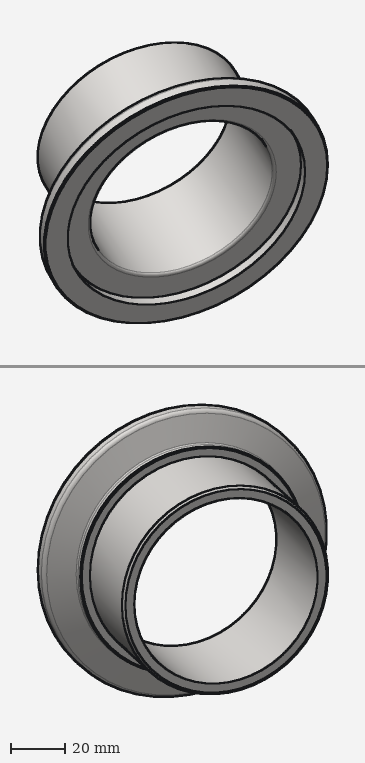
import cadquery as cq
import math

total_length = 45.7
bore_diameter = 72.4
tube_diameter = 81.5
tube_end_chamfer = 1.0

collar_diameter = 88.9
collar_start = 32.6
collar_width = 3.2
collar_edge_chamfer = 0.5

flange_diameter = 112.8
flange_slope_angle = 20.0
neck_fillet_radius = 0.7
rim_fillet_radius = 2.0
flange_face_chamfer = 0.5

recess_diameter = 94.3
recess_depth = 4.0
bore_edge_fillet = 1.1

bore_radius = bore_diameter / 2
tube_radius = tube_diameter / 2
collar_radius = collar_diameter / 2
flange_radius = flange_diameter / 2
slope = math.radians(flange_slope_angle)
slope_start = collar_start + collar_width
rim_start = slope_start + (flange_radius - collar_radius) * math.tan(slope)

tangent_per_radius = math.tan((math.pi / 2 - slope) / 2)
neck_tangent = neck_fillet_radius * tangent_per_radius
rim_tangent = rim_fillet_radius * tangent_per_radius


def along_cone(corner_x, corner_radius, distance):
    """Point on the back cone at a signed distance from a corner that lies on it."""
    return (
        corner_x + distance * math.sin(slope),
        corner_radius + distance * math.cos(slope),
    )


def make_body():
    """Solid tube, collar and flange as one revolved outline."""
    outline = (
        cq.Workplane("XY")
        .moveTo(0, 0)
        .lineTo(0, tube_radius - tube_end_chamfer)
        .lineTo(tube_end_chamfer, tube_radius)
        .lineTo(collar_start, tube_radius)
        .lineTo(collar_start, collar_radius - collar_edge_chamfer)
        .lineTo(collar_start + collar_edge_chamfer, collar_radius)
        .lineTo(slope_start - neck_tangent, collar_radius)
        .radiusArc(along_cone(slope_start, collar_radius, neck_tangent), -neck_fillet_radius)
        .lineTo(*along_cone(rim_start, flange_radius, -rim_tangent))
        .radiusArc((rim_start + rim_tangent, flange_radius), rim_fillet_radius)
        .lineTo(total_length - flange_face_chamfer, flange_radius)
        .lineTo(total_length, flange_radius - flange_face_chamfer)
        .lineTo(total_length, 0)
        .close()
    )
    return outline.revolve(360, (0, 0, 0), (1, 0, 0))


def make_opening():
    """Through bore, its rounded inner edge and the shallow recess in the flange face."""
    recess_floor = total_length - recess_depth
    outline = (
        cq.Workplane("XY")
        .moveTo(0, 0)
        .lineTo(0, bore_radius)
        .lineTo(recess_floor - bore_edge_fillet, bore_radius)
        .radiusArc((recess_floor, bore_radius + bore_edge_fillet), -bore_edge_fillet)
        .lineTo(recess_floor, recess_diameter / 2)
        .lineTo(total_length, recess_diameter / 2)
        .lineTo(total_length, 0)
        .close()
    )
    return outline.revolve(360, (0, 0, 0), (1, 0, 0))


result = make_body().cut(make_opening())